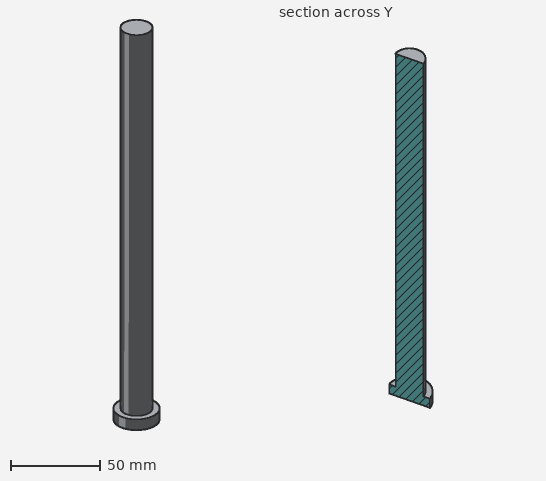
import cadquery as cq

total_length = 250.0
head_diameter = 26.0
head_height = 7.0
shaft_diameter = 18.0

head = cq.Workplane("XY").circle(head_diameter / 2).extrude(head_height)
shaft = cq.Workplane("XY").circle(shaft_diameter / 2).extrude(total_length)

result = head.union(shaft)